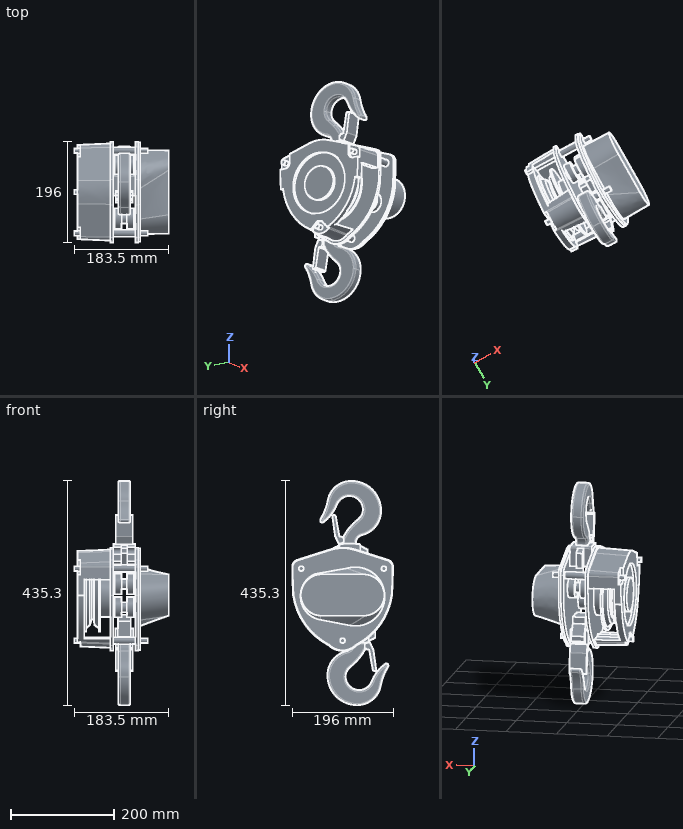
import cadquery as cq
import math


bolt_left, bolt_right = -97.0, 45.5
cover_left = -91.0
cover_floor = -77.5
gap_half = 21.5
plate_thickness = 5.5
plate_left = -gap_half - plate_thickness
plate_right = gap_half + plate_thickness
backing_thickness = 4.5
backing_right = plate_right + backing_thickness
housing_right = 86.5

plate_half_width = 98.0
plate_top = 92.5
crown_half_width = 24.5
crown_slope = math.radians(17.6)
corner_radius = 14.5
side_middle = (97.5, 28.5)
side_end = (96.0, 0)
flank_middle = (80.0, -46.5)
flank_end = (27.0, -97.5)
plate_bottom = -108.5
backing_inset = 1.5

bolt_radius = 5.0
spacer_radius = 7.0
upper_bolt_y, upper_bolt_z = 80.0, 51.5
lower_bolt_z = -88.5
bolt_centers = [(-upper_bolt_y, upper_bolt_z), (upper_bolt_y, upper_bolt_z), (0, lower_bolt_z)]

cover_inset = 3.5
lower_cover_inset = 9.0
lower_cover_drop = 3.5
cover_draft = 2.5
hollow_inset = 14.0
window_top = 30.0
window_bottom = -85.0
recess_depth = 5.5
ring_outer_radius, ring_inner_radius = 61.0, 33.5

roller_radius = 20.0
roller_shaft_radius = 10.0
roller_outer_x, roller_inner_x = 18.7, 5.2
roller_centers = [(52.2, 21.5), (-51.5, -23.5)]

hook_thickness = 24.0
hook_fillet = 3.7
latch_width = 33.5
hook_pair_center = (22.5, 4.0)

far = 435.5


def prism(sketch_points, x_start, x_end):
    """Extrude a closed YZ polygon along X."""
    outline = cq.Workplane("YZ", origin=(x_start, 0, 0)).polyline(sketch_points).close()
    return outline.extrude(x_end - x_start)


def rod(center, radius, x_start, x_end):
    """Cylinder along X."""
    plane = cq.Workplane("YZ", origin=(x_start, 0, 0))
    return plane.center(*center).circle(radius).extrude(x_end - x_start)


def block(x_range, y_range, z_range):
    """Box between two limits on each axis."""
    size = [end - start for start, end in (x_range, y_range, z_range)]
    corner = (x_range[0], y_range[0], z_range[0])
    return cq.Workplane("XY", origin=corner).box(*size, centered=False)


def shield(inset, x_start, x_end, draft=0):
    """Extrude the shield-shaped plate outline, drawn in by an inset."""
    crown_radius = crown_half_width / math.sin(crown_slope)
    crown_end_z = plate_top - crown_radius * (1 - math.cos(crown_slope))
    shoulder_drop = (plate_half_width - crown_half_width) * math.tan(crown_slope)
    shoulder_z = crown_end_z - shoulder_drop
    corner_reach = corner_radius * math.tan((math.pi / 2 - crown_slope) / 2)
    corner_start = (
        plate_half_width - corner_reach * math.cos(crown_slope),
        shoulder_z + corner_reach * math.sin(crown_slope),
    )
    corner_end = (plate_half_width, shoulder_z - corner_reach)
    corner_angle = math.pi / 4 - crown_slope / 2
    corner_middle = (
        plate_half_width - corner_radius * (1 - math.cos(corner_angle)),
        corner_end[1] + corner_radius * math.sin(corner_angle),
    )

    def mirrored(point):
        return (-point[0], point[1])

    crown_end = (crown_half_width, crown_end_z)
    outline = (
        cq.Workplane("YZ", origin=(x_start, 0, 0))
        .moveTo(*mirrored(crown_end))
        .threePointArc((0, plate_top), crown_end)
        .lineTo(*corner_start)
        .threePointArc(corner_middle, corner_end)
        .threePointArc(side_middle, side_end)
        .threePointArc(flank_middle, flank_end)
        .threePointArc((0, plate_bottom), mirrored(flank_end))
        .threePointArc(mirrored(flank_middle), mirrored(side_end))
        .threePointArc(mirrored(side_middle), mirrored(corner_end))
        .threePointArc(mirrored(corner_middle), mirrored(corner_start))
        .close()
    )
    if inset:
        outline = outline.offset2D(-inset)
    return outline.extrude(x_end - x_start, taper=draft)


def side_plates():
    """Two plates either side of the chain gap, with a backing plate on the right."""
    left = shield(0, plate_left, -gap_half)
    right = shield(0, gap_half, plate_right)
    backing = shield(backing_inset, plate_right, backing_right)
    return left.union(right).union(backing)


def tie_bolts():
    """Three bolts through the hoist, each with a spacer sleeve."""
    bolts = cq.Workplane()
    for center in bolt_centers:
        bolts = bolts.add(rod(center, bolt_radius, bolt_left, bolt_right))
        bolts = bolts.add(rod(center, spacer_radius, cover_floor, gap_half))
    return bolts.combine()


def wheel_cover():
    """Drafted cover that narrows in a step below the wheel axis."""
    above = block((-far, far), (-far, far), (0, far))
    below = block((-far, far), (-far, far), (-far, 0))
    upper = shield(cover_inset, plate_left, cover_left, cover_draft).intersect(above)
    lower = shield(lower_cover_inset, plate_left, cover_left, cover_draft)
    lower = lower.translate((0, 0, -lower_cover_drop)).intersect(below)
    cover = upper.union(lower)

    above_sill = block((-far, far), (-far, far), (window_bottom, far))
    hollow = shield(hollow_inset, cover_floor, plate_left).intersect(above_sill)
    windows = block((cover_floor, plate_left), (-far, far), (window_bottom, window_top))
    cover = cover.cut(hollow).cut(windows)

    groove = rod((0, 0), ring_outer_radius, cover_left, cover_left + recess_depth)
    groove = groove.cut(rod((0, 0), ring_inner_radius, cover_left, cover_left + recess_depth))
    cover = cover.cut(groove)

    shoulder_y, shoulder_z = 68.8, 39.5
    pocket_corner_radius = 11.0
    recess_x = (cover_left, cover_left + recess_depth)
    for y_range in ((shoulder_y, far), (-far, -shoulder_y)):
        pocket = block(recess_x, y_range, (shoulder_z, far)).edges("|X").fillet(pocket_corner_radius)
        cover = cover.cut(pocket)
    foot_top, foot_flat, foot_depth = -76.0, 4.5, 35.0
    foot = [
        (-foot_flat, foot_top),
        (foot_flat, foot_top),
        (foot_flat + foot_depth, foot_top - foot_depth),
        (-foot_flat - foot_depth, foot_top - foot_depth),
    ]
    return cover.cut(prism(foot, *recess_x))


def load_wheel():
    """Wheel with a V groove between two rims, on a plain hub."""
    hub_radius, hub_left = 42.5, -46.0
    rim_radius, cone_radius = 71.0, 64.5
    lip_radius, groove_radius = 58.5, 47.0
    profile = [
        (cover_floor, 0),
        (cover_floor, rim_radius),
        (-73.5, rim_radius),
        (-73.5, cone_radius),
        (-66.5, lip_radius),
        (-62.5, groove_radius),
        (-59.5, groove_radius),
        (-58.0, lip_radius),
        (-49.5, cone_radius),
        (-49.5, rim_radius),
        (hub_left, rim_radius),
        (hub_left, hub_radius),
        (plate_left, hub_radius),
        (plate_left, 0),
    ]
    return cq.Workplane("XZ").polyline(profile).close().revolve(360, (0, 0, 0), (1, 0, 0))


def hand_chain_housing():
    """Tapered housing from a lopsided oval to a flat-topped oval."""
    end_half_width, end_half_height, end_flat = 81.0, 40.0, 43.5
    return (
        cq.Workplane("YZ", origin=(backing_right, 0, 0))
        .moveTo(-52.0, 41.5)
        .lineTo(8.3, 52.0)
        .threePointArc((82.0, -2.5), (13.0, -58.8))
        .lineTo(-43.5, -48.0)
        .threePointArc((-82.0, -2.5), (-52.0, 41.5))
        .close()
        .workplane(offset=housing_right - backing_right)
        .moveTo(-end_flat, end_half_height)
        .lineTo(end_flat, end_half_height)
        .threePointArc((end_half_width, 0), (end_flat, -end_half_height))
        .lineTo(-end_flat, -end_half_height)
        .threePointArc((-end_half_width, 0), (-end_flat, end_half_height))
        .close()
        .loft(ruled=True)
    )


def chain_rollers():
    """Two twin-flanged rollers between the side plates."""
    rollers = cq.Workplane()
    for center in roller_centers:
        rollers = rollers.add(rod(center, roller_shaft_radius, -gap_half, gap_half))
        rollers = rollers.add(rod(center, roller_radius, -roller_outer_x, -roller_inner_x))
        rollers = rollers.add(rod(center, roller_radius, roller_inner_x, roller_outer_x))
    return rollers.combine()


def hook():
    """Upper hook with its safety latch."""
    neck_start, neck_end = (26.0, 98.5), (1.0, 98.5)
    body = (
        cq.Workplane("YZ", origin=(-hook_thickness / 2, 0, 0))
        .moveTo(*neck_start)
        .lineTo(neck_start[0], 102.0)
        .tangentArcPoint((37.5, 116.2), relative=False)
        .tangentArcPoint((75.0, 166.7), relative=False)
        .tangentArcPoint((20.0, 221.5), relative=False)
        .tangentArcPoint((-29.0, 183.0), relative=False)
        .tangentArcPoint((-43.0, 147.0), relative=False)
        .threePointArc((-42.5, 142.0), (-37.5, 141.0))
        .threePointArc((-20.5, 158.0), (-11.0, 175.5))
        .tangentArcPoint((39.0, 166.5), relative=False)
        .tangentArcPoint((31.0, 148.0), relative=False)
        .tangentArcPoint((18.0, 136.0), relative=False)
        .tangentArcPoint((1.0, 112.0), relative=False)
        .tangentArcPoint(neck_end, relative=False)
        .close()
        .extrude(hook_thickness)
    )
    body = body.faces("<X or >X").edges().fillet(hook_fillet)
    latch = [
        (-13.0, 153.2),
        (-16.0, 155.5),
        (-20.5, 155.0),
        (-15.0, 114.5),
        (-7.5, 99.0),
        (0.5, 101.0),
        (2.5, 103.5),
        (2.5, 109.5),
        (-1.0, 113.0),
        (-6.0, 114.0),
    ]
    return body.union(prism(latch, -latch_width / 2, latch_width / 2))


def flipped(shape):
    """Turn an upper hook part by half a turn into its lower place."""
    center_y, center_z = hook_pair_center
    return shape.rotate((0, center_y, center_z), (1, center_y, center_z), 180)


def suspension_bracket(half_width):
    """Narrow chain bracket that runs through the hook block."""
    outline = [
        (48.5, 58.8),
        (48.5, 88.5),
        (34.5, 95.8),
        (-6.0, 96.5),
        (-18.5, 91.0),
        (-18.5, 81.0),
        (-6.0, 58.8),
    ]
    return prism(outline, -half_width, half_width)


def upper_block():
    """Yoke across the chain gap that carries the upper hook."""
    block_y = (-6.0, 34.5)
    top_z, bottom_z = 99.3, 59.0
    top_rounding, heel_chamfer = 3.5, 6.0
    groove_z, groove_radius = 85.8, 6.5
    bracket_half_width = 6.0
    yoke = block((-gap_half, gap_half), block_y, (bottom_z, top_z))
    yoke = yoke.edges("|X and >Z").fillet(top_rounding)
    yoke = yoke.edges("|X and <Z and <Y").chamfer(heel_chamfer)
    yoke = yoke.cut(rod((block_y[0], groove_z), groove_radius, -gap_half, gap_half))
    return yoke.union(suspension_bracket(bracket_half_width))


def lower_block():
    """Block that carries the lower hook."""
    cheek_half_width, stem_half_width = 18.0, 12.5
    block_y = (10.0, 50.5)
    stem_z, cheek_z = (-80.5, -38.0), (-92.5, -64.5)
    stem = block((-stem_half_width, stem_half_width), block_y, stem_z)
    cheeks = block((-cheek_half_width, cheek_half_width), block_y, cheek_z)
    return stem.union(cheeks).union(flipped(suspension_bracket(stem_half_width)))


result = side_plates()
for component in (
    tie_bolts(),
    wheel_cover(),
    load_wheel(),
    hand_chain_housing(),
    chain_rollers(),
    upper_block(),
    lower_block(),
    hook(),
    flipped(hook()),
):
    result = result.union(component)